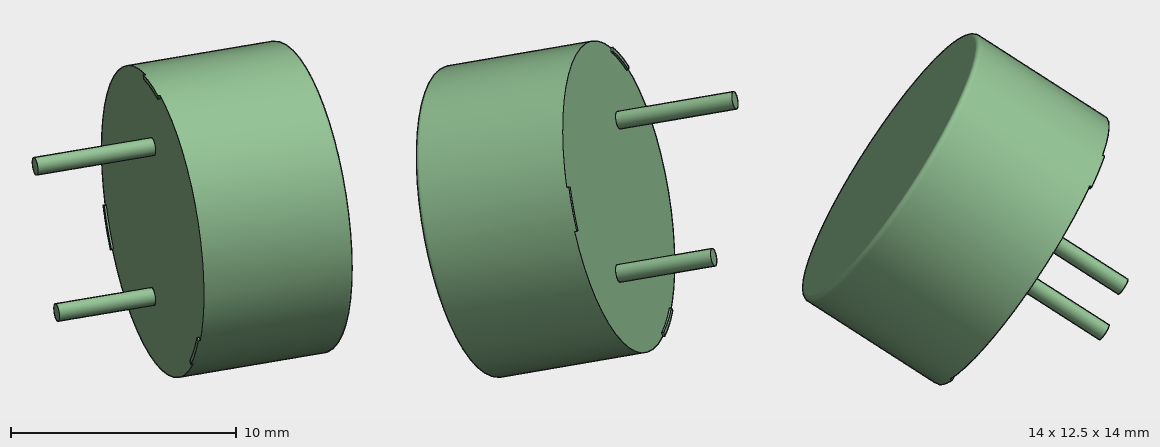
import cadquery as cq

body_diameter = 14.0
body_length = 7.0
rim_fillet = 0.21

pin_diameter = 0.8
pin_spacing = 7.6
upper_pin_length = 5.5
lower_pin_length = 4.5

standoff_count = 3
standoff_height = 0.1
standoff_radial_width = 0.2
standoff_span_angle = 16.5

body_radius = body_diameter / 2


def make_body():
    """Housing from its pin face at Y = 0 to a rounded rim at +Y."""
    body = cq.Workplane("XZ").circle(body_radius).extrude(-body_length)
    return body.faces(">Y").edges().fillet(rim_fillet)


def make_pin(z, length):
    """Round pin standing out of the pin face towards -Y."""
    return cq.Workplane("XZ").center(0, z).circle(pin_diameter / 2).extrude(length)


def make_standoff(center_angle):
    """Thin arc-shaped pad along the edge of the pin face."""
    start_angle = center_angle - standoff_span_angle / 2
    profile = (
        cq.Workplane("XY")
        .moveTo(body_radius - standoff_radial_width, 0)
        .lineTo(body_radius, 0)
        .lineTo(body_radius, -standoff_height)
        .lineTo(body_radius - standoff_radial_width, -standoff_height)
        .close()
    )
    pad = profile.revolve(standoff_span_angle, (0, 0, 0), (0, -1, 0))
    return pad.rotate((0, 0, 0), (0, -1, 0), start_angle)


result = make_body()
result = result.union(make_pin(pin_spacing / 2, upper_pin_length))
result = result.union(make_pin(-pin_spacing / 2, lower_pin_length))

for index in range(standoff_count):
    result = result.union(make_standoff(90 + index * 360 / standoff_count))